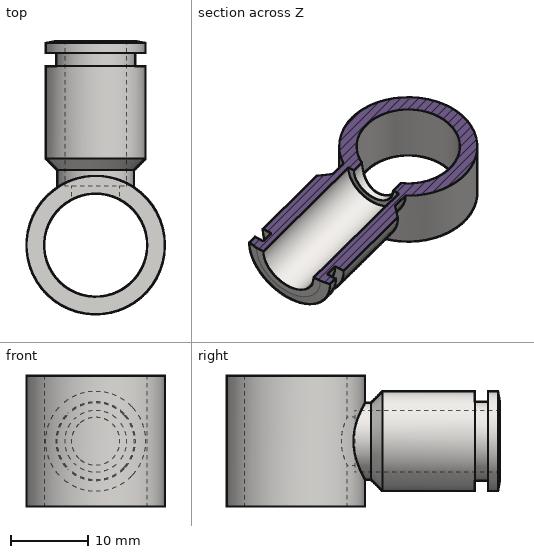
import cadquery as cq

collar_height = 17.0
collar_radius = 9.0
collar_bore_radius = 6.67

total_length = 35.5
fitting_end = total_length - collar_radius
body_radius = 6.5
groove_radius = 5.15
neck_radius = 5.0
end_face_radius = 5.1
rim_bevel_depth = 0.25
flange_thickness = 1.55
groove_width = 1.7
body_length = 12.0
taper_length = body_radius - neck_radius
orifice_radius = 3.12
tube_socket_radius = 4.0

flange_back = fitting_end - flange_thickness
body_front = flange_back - groove_width
body_back = body_front - body_length
neck_front = body_back - taper_length
socket_floor = 7.7


def make_fitting():
    """Revolve the half profile (radius, Y) of the fitting about the Y axis."""
    profile = [
        (0, 0),
        (neck_radius, 0),
        (neck_radius, neck_front),
        (body_radius, body_back),
        (body_radius, body_front),
        (groove_radius, body_front),
        (groove_radius, flange_back),
        (body_radius, flange_back),
        (body_radius, fitting_end - rim_bevel_depth),
        (end_face_radius, fitting_end),
        (0, fitting_end),
    ]
    return cq.Workplane("XY").polyline(profile).close().revolve(360, (0, 0), (0, 1))


def make_upright_cylinder(radius):
    """Cylinder along Z with the height of the collar."""
    return cq.Workplane("XY").circle(radius).extrude(collar_height / 2, both=True)


def make_bore(radius, start):
    """Bore along the fitting axis from Y = start out through the free end."""
    return cq.Workplane("XZ", origin=(0, start, 0)).circle(radius).extrude(start - fitting_end)


result = (
    make_upright_cylinder(collar_radius)
    .union(make_fitting())
    .cut(make_upright_cylinder(collar_bore_radius))
    .cut(make_bore(orifice_radius, 0))
    .cut(make_bore(tube_socket_radius, socket_floor))
)